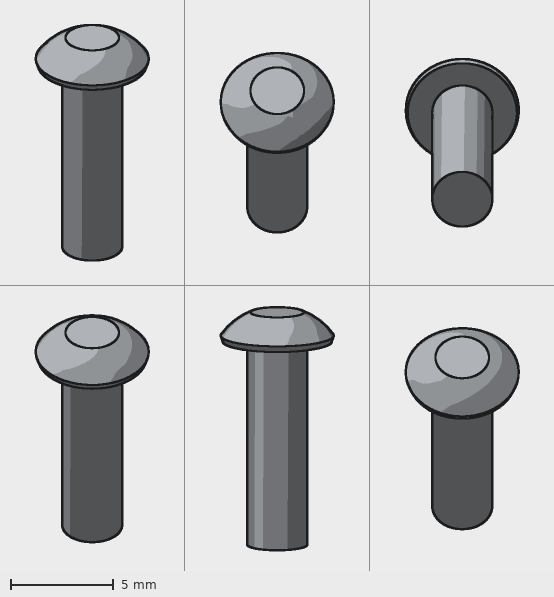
import cadquery as cq
import math

total_length = 11.5
shank_diameter = 2.93
rim_diameter = 5.5
bearing_diameter = 5.3
crown_flat_diameter = 2.6
rim_height = 0.3
crown_height = 1.15

shank_radius = shank_diameter / 2
rim_radius = rim_diameter / 2
bearing_radius = bearing_diameter / 2
flat_radius = crown_flat_diameter / 2
head_height = rim_height + crown_height
shank_length = total_length - head_height

centre_below_flat = (rim_radius**2 - flat_radius**2 + crown_height**2) / (2 * crown_height)
sphere_radius = math.hypot(flat_radius, centre_below_flat)
crown_mid_height = rim_height + crown_height / 2
crown_mid_radius = math.sqrt(sphere_radius**2 - (centre_below_flat - crown_height / 2) ** 2)


def make_head():
    """Revolve the head: flared rim, spherical crown and flat top."""
    half_profile = (
        cq.Workplane("XZ")
        .lineTo(bearing_radius, 0)
        .lineTo(rim_radius, rim_height)
        .threePointArc((crown_mid_radius, crown_mid_height), (flat_radius, head_height))
        .lineTo(0, head_height)
        .close()
    )
    return half_profile.revolve(360, (0, 0), (0, 1))


def make_shank():
    """Plain cylinder running down from the underside of the head."""
    return cq.Workplane("XY").circle(shank_radius).extrude(-shank_length)


result = make_head().union(make_shank())